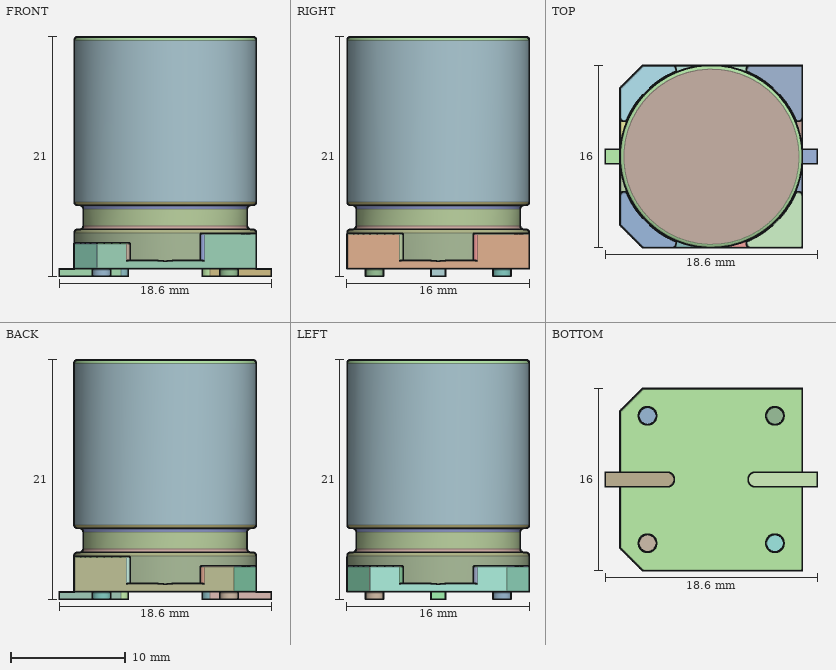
import cadquery as cq


can_diameter = 16.0
neck_diameter = 14.4
total_height = 21.0
can_round = 0.32
bead_top = 4.12
shoulder_bottom = 6.22

base_width = can_diameter
corner_cut = 2.0
lead_thickness = 0.65
base_bottom = lead_thickness
floor_top = 1.4
low_block_top = 2.92
high_block_top = 3.75
gap_width = 6.17
block_round = 0.34
edge_round = 0.08

lead_width = 1.3
lead_span = 18.6
lead_inner_end = 3.23
foot_diameter = 1.6
foot_offset = 5.59
foot_round = 0.06

half_base = base_width / 2
half_gap = gap_width / 2


def make_can():
    """Revolved can with rounded rims and a rounded neck groove."""
    can_radius = can_diameter / 2
    neck_radius = neck_diameter / 2
    can_bottom = floor_top - edge_round
    profile = (
        cq.Workplane("XZ")
        .moveTo(0, can_bottom)
        .lineTo(can_radius, can_bottom)
        .lineTo(can_radius, bead_top - can_round)
        .radiusArc((can_radius - can_round, bead_top), -can_round)
        .lineTo(neck_radius + can_round, bead_top)
        .radiusArc((neck_radius, bead_top + can_round), can_round)
        .lineTo(neck_radius, shoulder_bottom - can_round)
        .radiusArc((neck_radius + can_round, shoulder_bottom), can_round)
        .lineTo(can_radius - can_round, shoulder_bottom)
        .radiusArc((can_radius, shoulder_bottom + can_round), -can_round)
        .lineTo(can_radius, total_height - can_round)
        .radiusArc((can_radius - can_round, total_height), -can_round)
        .lineTo(0, total_height)
        .close()
    )
    return profile.revolve(360, (0, 0, 0), (0, 1, 0))


def make_floor():
    """Square plate with chamfered -X corners and softened edges."""
    plate = cq.Workplane("XY").workplane(offset=base_bottom)
    plate = plate.rect(base_width, base_width).extrude(floor_top - base_bottom)
    plate = plate.edges("|Z and <X").chamfer(corner_cut)
    return plate.edges().fillet(edge_round)


def make_corner_block(x_side, y_side, top):
    """Corner block of the base, hollowed to fit the can."""
    size = half_base - half_gap
    centre = half_gap + size / 2
    block = (
        cq.Workplane("XY")
        .workplane(offset=base_bottom)
        .center(x_side * centre, y_side * centre)
        .rect(size, size)
        .extrude(top - base_bottom)
    )
    outer_x = ">X" if x_side > 0 else "<X"
    outer_y = ">Y" if y_side > 0 else "<Y"
    outer_edges = block.edges("|Z").edges(outer_x).edges(outer_y)
    if x_side < 0:
        block = outer_edges.chamfer(corner_cut)
        outer_edges = block.faces("not (|X or |Y or |Z)").edges("|Z")
    block = outer_edges.fillet(edge_round)

    inner_x = "<X" if x_side > 0 else ">X"
    inner_y = "<Y" if y_side > 0 else ">Y"
    gap_edges = block.faces(inner_x).edges("|Z").edges(outer_y)
    gap_edges = gap_edges.add(block.faces(inner_y).edges("|Z").edges(outer_x))
    block = gap_edges.fillet(block_round)

    pocket = cq.Workplane("XY").circle(can_diameter / 2).extrude(total_height)
    return block.cut(pocket).faces("|Z").edges().fillet(edge_round)


def make_lead(x_side):
    """Flat lead with a full-round inner tip."""
    half_width = lead_width / 2
    tip = x_side * lead_inner_end
    tangent = x_side * (lead_inner_end + half_width)
    outer = x_side * lead_span / 2
    return (
        cq.Workplane("XY")
        .moveTo(outer, -half_width)
        .lineTo(tangent, -half_width)
        .threePointArc((tip, 0), (tangent, half_width))
        .lineTo(outer, half_width)
        .close()
        .extrude(lead_thickness)
    )


result = make_floor().union(make_can())
for x_side, block_top in ((-1, low_block_top), (1, high_block_top)):
    for y_side in (-1, 1):
        result = result.union(make_corner_block(x_side, y_side, block_top))
    result = result.union(make_lead(x_side))

foot_spacing = 2 * foot_offset
feet = (
    cq.Workplane("XY")
    .rect(foot_spacing, foot_spacing, forConstruction=True)
    .vertices()
    .circle(foot_diameter / 2)
    .extrude(lead_thickness)
    .edges()
    .fillet(foot_round)
)
result = result.union(feet)